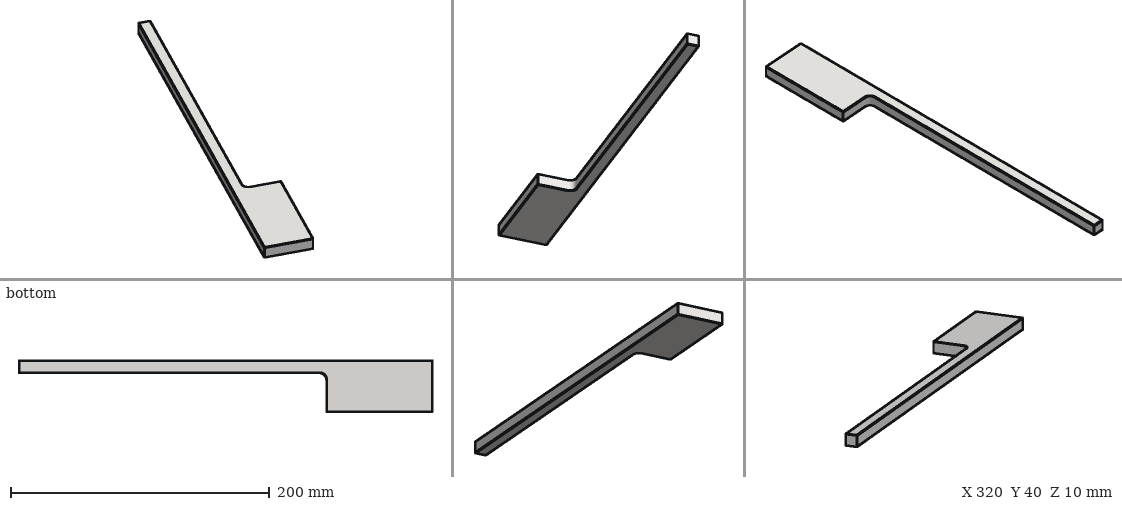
import cadquery as cq

length = 320.0
head_width = 40.0
thickness = 10.0

arm_width = 10.0
head_length = 82.2
neck_radius = 5.0

edge_break = 0.5

head_start = length - head_length

outline = (
    cq.Workplane("XY")
    .lineTo(length, 0)
    .lineTo(length, head_width)
    .lineTo(head_start, head_width)
    .lineTo(head_start, arm_width + neck_radius)
    .radiusArc((head_start - neck_radius, arm_width), neck_radius)
    .lineTo(0, arm_width)
    .close()
)
body = outline.extrude(thickness)

rims = "<Z or >Z"
outer_corners = "|Z and (<X or >X or >Y)"
result = body.edges(f"({rims}) or ({outer_corners})").chamfer(edge_break)